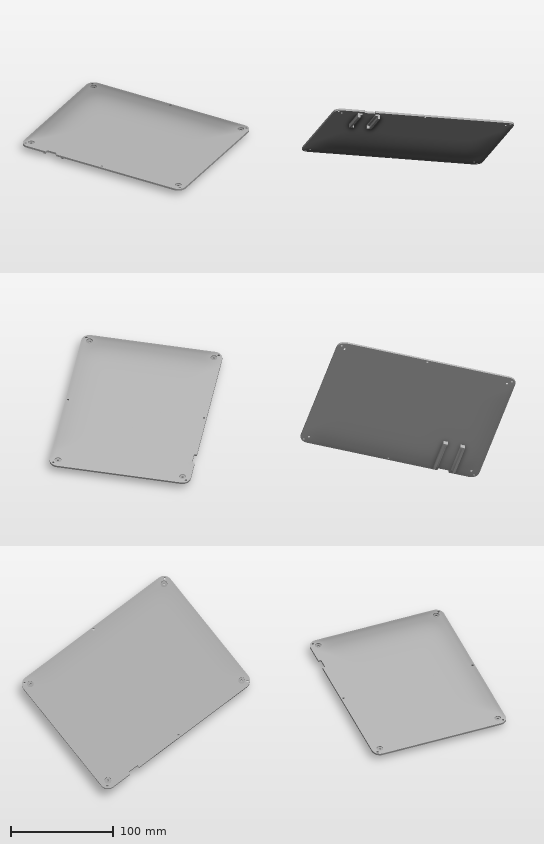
import cadquery as cq

length = 182
width = 140.3
total_height = 6.2
plate_thickness = 2.0
corner_radius = 8.2
front_y = -width / 2

hole_diameter = 2.2
counterbore_diameter = 6.5
counterbore_depth = 1.0
corner_hole_inset = 4.2
edge_hole_inset = 2.4

notch_center_x = -56.0
notch_width = 11
notch_depth = 2.7
mouth_radius = 0.42

rail_gap = 13.1
rail_width = 4.5
rail_length = 35.3
rail_front_inset = 4.7
rail_height = total_height - plate_thickness

rebate_width = 2.2
rebate_height = 2.7
rebate_end_wall = 2.2


def symmetric_points(inset):
    """Four points at the same inset from both edges of each plate corner."""
    x = length / 2 - inset
    y = width / 2 - inset
    return [(sx * x, sy * y) for sx in (-1, 1) for sy in (-1, 1)]


def make_pins(points, diameter, depth):
    """Cylinders reaching down from the top face of the plate."""
    return cq.Workplane("XY").pushPoints(points).circle(diameter / 2).extrude(-depth)


def make_plate():
    plate = cq.Workplane("XY").box(length, width, plate_thickness, centered=(True, True, False))
    plate = plate.translate((0, 0, -plate_thickness)).edges("|Z").fillet(corner_radius)
    mounting_points = symmetric_points(corner_radius)
    edge_y = width / 2 - edge_hole_inset
    plain_points = symmetric_points(corner_hole_inset) + [(0, -edge_y), (0, edge_y)]
    holes = make_pins(mounting_points + plain_points, hole_diameter, plate_thickness)
    counterbores = make_pins(mounting_points, counterbore_diameter, counterbore_depth)
    return plate.cut(holes).cut(counterbores)


def make_notch():
    return (
        cq.Workplane("XY")
        .center(notch_center_x, front_y)
        .rect(notch_width, 2 * notch_depth)
        .extrude(-plate_thickness)
    )


def round_notch_mouth(plate):
    """Round the two outer corners where the notch meets the front edge."""
    for side in (-1, 1):
        corner_x = notch_center_x + side * notch_width / 2
        corner = cq.selectors.NearestToPointSelector((corner_x, front_y, -plate_thickness / 2))
        plate = plate.edges("|Z").edges(corner).fillet(mouth_radius)
    return plate


def make_rail(side):
    """Rail on one side of the notch: side is -1 for left and 1 for right."""
    rail_y = front_y + rail_front_inset
    inner_x = notch_center_x + side * rail_gap / 2
    rail = (
        cq.Workplane("XY", origin=(inner_x + side * rail_width / 2, rail_y, -total_height))
        .box(rail_width, rail_length, rail_height, centered=(True, False, False))
    )
    rebate = (
        cq.Workplane("XY", origin=(inner_x + side * rebate_width / 2, rail_y, -total_height))
        .box(rebate_width, rail_length - rebate_end_wall, rebate_height, centered=(True, False, False))
    )
    return rail.cut(rebate)


result = round_notch_mouth(make_plate().cut(make_notch()))
for rail_side in (-1, 1):
    result = result.union(make_rail(rail_side))